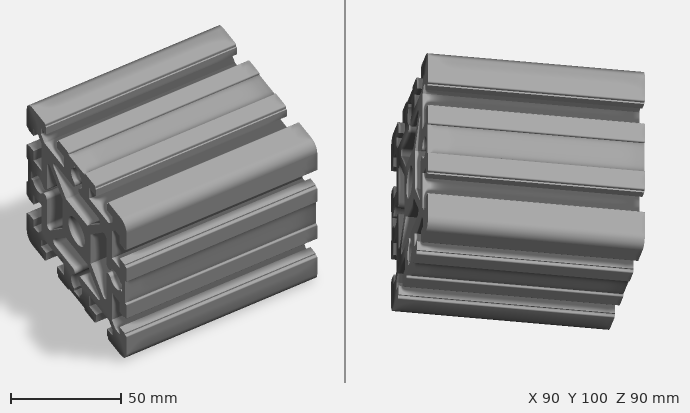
import cadquery as cq
import math

WIDTH = 90.0
LENGTH = 100.0
CORNER_RADIUS = 5.2
BORE_DIAMETER = 15.0
FACE = WIDTH / 2
CUT_TOP = FACE + 1.0

SLOT_CENTER = WIDTH / 4
SLOT_OPENING = 9.9
SLOT_STEP_WIDTH = 11.4
SLOT_STEP_DEPTH = 1.6
LIP_THICKNESS = 6.1
SLOT_FLOOR = 31.8
SLOT_INNER_WALL = 11.3
SLOT_OUTER_WALL = 32.2
SLOT_CHAMFER = 3.1
EDGE_RADIUS = 0.6

RECESS_HALF_WIDTH = 7.3
RECESS_DEPTH = 1.2

CHANNEL_RADIUS = 5.1
CHANNEL_CENTER = 35.0
NOTCH_WIDTH = 4.8
NOTCH_TOP = 41.1

CHAMBER_TOP = 26.9
CHAMBER_BOTTOM = 12.7
CHAMBER_BOTTOM_HALF = 9.6
CHAMBER_HALF_WIDTH = 21.2
CHAMBER_CORNER_RADIUS = 2.0
NOSE_RADIUS = 2.0

DIAGONAL = math.sqrt(0.5)


def section():
    return cq.Workplane("XZ")


def prism(outline):
    return outline.extrude(LENGTH / 2, both=True)


def rounded_edge(outline, flat_x, side_x, rising):
    """Draw the round between the face at flat_x and the side wall at side_x, up or down."""
    face_end = (flat_x, FACE)
    wall_end = (side_x, FACE - EDGE_RADIUS)
    middle_x = flat_x + (side_x - flat_x) * DIAGONAL
    middle_z = FACE - EDGE_RADIUS * (1 - DIAGONAL)
    return outline.threePointArc((middle_x, middle_z), face_end if rising else wall_end)


def slot_cutter():
    """T-slot on the +x half, with a stepped mouth and one chamfered inner corner."""
    mouth_left = SLOT_CENTER - SLOT_OPENING / 2
    mouth_right = SLOT_CENTER + SLOT_OPENING / 2
    step_left = SLOT_CENTER - SLOT_STEP_WIDTH / 2
    step_right = SLOT_CENTER + SLOT_STEP_WIDTH / 2
    step_z = FACE - SLOT_STEP_DEPTH
    lip_z = FACE - LIP_THICKNESS

    outline = section().moveTo(step_left - EDGE_RADIUS, CUT_TOP).lineTo(step_left - EDGE_RADIUS, FACE)
    outline = rounded_edge(outline, step_left - EDGE_RADIUS, step_left, rising=False)
    outline = (
        outline.lineTo(step_left, step_z)
        .lineTo(mouth_left, step_z)
        .lineTo(mouth_left, lip_z)
        .lineTo(SLOT_INNER_WALL, lip_z)
        .lineTo(SLOT_INNER_WALL, SLOT_FLOOR)
        .lineTo(SLOT_OUTER_WALL - SLOT_CHAMFER, SLOT_FLOOR)
        .lineTo(SLOT_OUTER_WALL, SLOT_FLOOR + SLOT_CHAMFER)
        .lineTo(SLOT_OUTER_WALL, lip_z)
        .lineTo(mouth_right, lip_z)
        .lineTo(mouth_right, step_z)
        .lineTo(step_right, step_z)
        .lineTo(step_right, FACE - EDGE_RADIUS)
    )
    outline = rounded_edge(outline, step_right + EDGE_RADIUS, step_right, rising=True)
    return prism(outline.lineTo(step_right + EDGE_RADIUS, CUT_TOP).close())


def recess_cutter():
    """Shallow recess with rounded upper edges."""
    half = RECESS_HALF_WIDTH
    rim = half + EDGE_RADIUS
    bottom = FACE - RECESS_DEPTH
    outline = section().moveTo(-rim, CUT_TOP).lineTo(-rim, FACE)
    outline = rounded_edge(outline, -rim, -half, rising=False)
    outline = outline.lineTo(-half, bottom).lineTo(half, bottom).lineTo(half, FACE - EDGE_RADIUS)
    outline = rounded_edge(outline, rim, half, rising=True)
    return prism(outline.lineTo(rim, CUT_TOP).close())


def channel_cutter():
    """Round screw channel with a square notch towards the face."""
    circle = prism(section().center(0, CHANNEL_CENTER).circle(CHANNEL_RADIUS))
    notch_height = NOTCH_TOP - CHANNEL_CENTER
    notch_middle = CHANNEL_CENTER + notch_height / 2
    notch = prism(section().center(0, notch_middle).rect(NOTCH_WIDTH, notch_height))
    return circle.union(notch)


def neck_cutter():
    """Neck from chamber to screw channel; its nose arcs are tangent to both."""
    nose_z = CHAMBER_TOP + NOSE_RADIUS
    center_distance = CHANNEL_RADIUS + NOSE_RADIUS
    rise = CHANNEL_CENTER - nose_z
    nose_x = math.sqrt(center_distance**2 - rise**2)
    touch_x = nose_x * CHANNEL_RADIUS / center_distance
    touch_z = CHANNEL_CENTER - rise * CHANNEL_RADIUS / center_distance
    tip_x = nose_x - NOSE_RADIUS
    outline = (
        section()
        .moveTo(-nose_x, CHAMBER_TOP)
        .threePointArc((-tip_x, nose_z), (-touch_x, touch_z))
        .lineTo(touch_x, touch_z)
        .threePointArc((tip_x, nose_z), (nose_x, CHAMBER_TOP))
        .close()
    )
    return prism(outline)


def chamber_cutter():
    """Trapezoidal chamber; one arc joins its top to each sloping web."""
    center_x = CHAMBER_HALF_WIDTH - CHAMBER_CORNER_RADIUS
    center_z = CHAMBER_TOP - CHAMBER_CORNER_RADIUS
    run = center_x - CHAMBER_BOTTOM_HALF
    rise = center_z - CHAMBER_BOTTOM
    web_angle = math.atan2(rise, run) - math.asin(CHAMBER_CORNER_RADIUS / math.hypot(run, rise))
    touch_x = center_x + CHAMBER_CORNER_RADIUS * math.sin(web_angle)
    touch_z = center_z - CHAMBER_CORNER_RADIUS * math.cos(web_angle)
    outline = (
        section()
        .moveTo(-CHAMBER_BOTTOM_HALF, CHAMBER_BOTTOM)
        .lineTo(CHAMBER_BOTTOM_HALF, CHAMBER_BOTTOM)
        .lineTo(touch_x, touch_z)
        .threePointArc((CHAMBER_HALF_WIDTH, center_z), (center_x, CHAMBER_TOP))
        .lineTo(-center_x, CHAMBER_TOP)
        .threePointArc((-CHAMBER_HALF_WIDTH, center_z), (-touch_x, touch_z))
        .close()
    )
    return prism(outline)


bar = prism(section().rect(WIDTH, WIDTH)).edges("|Y").fillet(CORNER_RADIUS)
result = bar.cut(prism(section().circle(BORE_DIAMETER / 2)))

slot = slot_cutter()
hollow = chamber_cutter().union(neck_cutter()).union(channel_cutter())
side_cutters = [slot, slot.mirror("YZ"), recess_cutter(), hollow]
for quarter in range(4):
    for cutter in side_cutters:
        result = result.cut(cutter.rotate((0, 0, 0), (0, 1, 0), 90 * quarter))